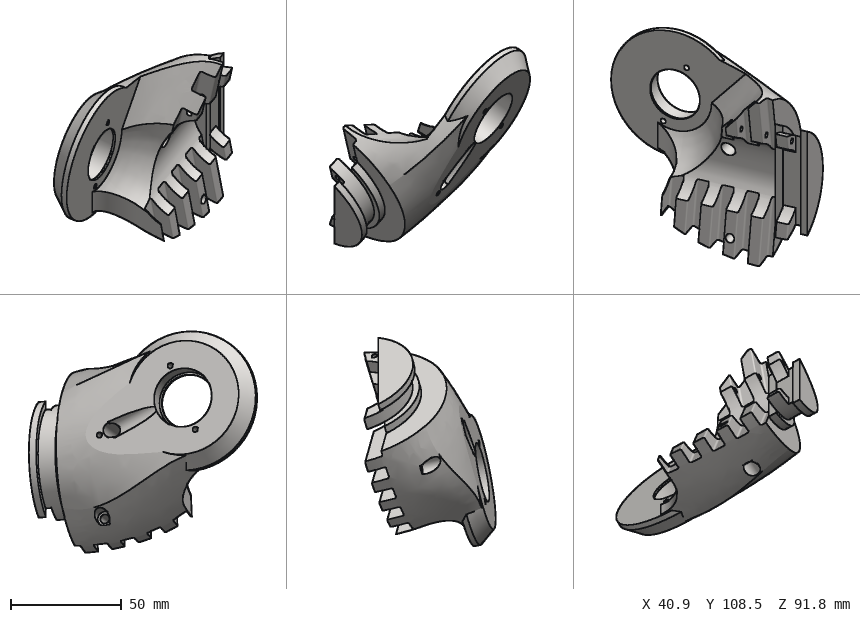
import cadquery as cq
import math

disc_radius = 32.1
disc_face_radius = 26.3
disc_chamfer_depth = 7.3
disc_thickness = 10.0
bearing_diameter = 27.0
bearing_lip_diameter = 25.0
bearing_lip_thickness = 1.1

axis_x = 44.3
axis_z = -17.8
sleeve_bore_radius = 20.5

body_end = 60.1
neck_end = 76.4
flange_width = 3.5
flange_flat_x = 30.2
groove_flat_x = 29.5
flange_radius = 30.3
groove_radius = 27.2
tab_start = 64.0
tab_end = 70.2
tab_corner = 0.8
flange_spans = [(body_end, tab_start), (neck_end - flange_width, neck_end)]

split_angle = 9.7
split_apex_x = 33.7
tooth_height = 7.9
tooth_width = 6.1
tooth_pitch = 12.6
tooth_count = 5
first_tooth_end = 57.4
tooth_root_fillet = 0.9
tooth_tip_fillet = 0.7

clearance_inner_radius = 18.4
clearance_mid_x = 19.0
clearance_mid_radius = 28.1
clearance_outer_x = 41.2
clearance_outer_radius = 33.6
clearance_slope = 0.9
web_face_y = 6.7
web_fillet = 15.7

screw_diameter = 2.5
screw_spots = [(5.9, 15.1), (-5.9, -15.1)]
blind_screw_spot = (39.2, -15.0)
cable_hole_diameter = 7.0
cable_groove_diameter = 8.0
cable_hole_spot = (33.9, -12.9)
cable_groove_start = (12.5, -4.3)
bolt_spot = (41.9, -49.7)
bolt_diameter = 4.2
bolt_head_diameter = 6.7
bolt_seat_x = 18.4
hinge_pin_spot = (33.4, 4.2)

reach = 65.1

skin_rim_x = 47.7
skin_stations = [
    (
        60.1,
        (23.5, (27.1, 20.4), (11.5, 8.2)),
        ((3.4, -8.2), (3.4, -27.3)),
        ((11.9, -44.6), (27.1, -56.1), -59.8),
    ),
    (
        44.5,
        (23.7, (17.4, 20.0), (6.7, 13.2)),
        ((0.1, -8.7), (0.1, -19.5)),
        ((9.5, -46.1), (19.5, -53.2), -58.7),
    ),
    (
        26.0,
        (23.3, (9.8, 21.9), (3.1, 19.3)),
        ((0.0, 7.6), (0.0, -24.7)),
        ((4.3, -40.1), (16.3, -49.2), -54.5),
    ),
    (
        7.0,
        (27.1, (9.8, 25.7), (1.2, 24.7)),
        ((0.0, 16.3), (0.0, -24.5)),
        ((0.9, -30.2), (15.2, -40.3), -46.9),
    ),
    (
        -8.7,
        (26.0, (9.8, 22.8), (1.1, 21.7)),
        ((0.0, 8.7), (0.0, -21.7)),
        ((0.9, -25.0), (9.8, -29.3), -32.5),
    ),
]


def cylinder_along_x(diameter, spot, start, length):
    y, z = spot
    return cq.Workplane("YZ", origin=(start, y, z)).circle(diameter / 2).extrude(length)


def cylinder_along_y(radius, x, z, start, end):
    return cq.Workplane("XZ", origin=(x, start, z)).circle(radius).extrude(start - end)


def flat_side(flat_x):
    """Block reaching from the disc face to a flat at flat_x."""
    return cq.Workplane("XY").box(flat_x, 4 * reach, 4 * reach, centered=(False, True, True))


def skin_wire(y, upper, flank, lower):
    """Closed outline of the skin at one station, with corners at the two creases."""
    upper_rim_z, upper_shoulder, upper_crease = upper
    lower_crease, lower_shoulder, lower_rim_z = lower

    def curve(points):
        return cq.Edge.makeSpline([cq.Vector(x, y, z) for x, z in points])

    upper_rim = (skin_rim_x, upper_rim_z)
    lower_rim = (skin_rim_x, lower_rim_z)
    return cq.Wire.assembleEdges([
        curve([upper_rim, upper_shoulder, upper_crease]),
        curve([upper_crease, *flank, lower_crease]),
        curve([lower_crease, lower_shoulder, lower_rim]),
        cq.Edge.makeLine(cq.Vector(skin_rim_x, y, lower_rim_z), cq.Vector(skin_rim_x, y, upper_rim_z)),
    ])


def make_skin():
    wires = [skin_wire(*station) for station in skin_stations]
    return cq.Workplane(obj=cq.Solid.makeLoft(wires))


def clearance_profile(low_y):
    """Region behind the disc, from low_y out to the curved clearance edge."""
    return (
        cq.Workplane("XY")
        .moveTo(disc_thickness, low_y)
        .lineTo(disc_thickness, clearance_inner_radius)
        .threePointArc((clearance_mid_x, clearance_mid_radius), (clearance_outer_x, clearance_outer_radius))
        .lineTo(reach, clearance_outer_radius)
        .lineTo(reach, low_y)
        .close()
    )


def make_clearance():
    """Space swept by the mating limb: a turned pocket with a sloping upper entry."""
    swing = clearance_profile(0).revolve(360, (0, 0, 0), (1, 0, 0))
    rise = cq.Vector(0, clearance_slope * reach, reach)
    entry_outline = clearance_profile(-reach).wire().val()
    entry = cq.Workplane(obj=cq.Solid.extrudeLinear(entry_outline, [], rise))
    return swing.union(entry)


def make_web_clearance():
    """Space in front of the lower web, with a large fillet into the disc."""
    fillet_start_y = web_face_y - web_fillet
    fillet_end_x = disc_thickness + web_fillet
    fillet_mid = web_fillet * math.sqrt(0.5)
    return (
        cq.Workplane("XY", origin=(0, 0, -reach))
        .moveTo(disc_thickness, fillet_start_y)
        .threePointArc(
            (fillet_end_x - fillet_mid, fillet_start_y + fillet_mid),
            (fillet_end_x, web_face_y),
        )
        .lineTo(reach, web_face_y)
        .lineTo(reach, -reach)
        .lineTo(disc_thickness, -reach)
        .close()
        .extrude(2 * reach)
    )


def tilt_to_split(shape):
    """Move a shape built on the upper side of the apex line onto the upper split plane."""
    tilted = shape.rotate((0, 0, 0), (0, 1, 0), split_angle)
    return tilted.translate((split_apex_x, 0, axis_z))


def both_sides(shape):
    """Join a shape with its mirror image below the sleeve axis."""
    mirrored = shape.mirror("XY", (0, 0, axis_z))
    return shape.union(mirrored)


def make_split_envelope():
    """Space kept inside the split planes, with a row of teeth standing along both of them."""
    comb = cq.Workplane("XY").box(2 * reach, 4 * reach, 2 * reach).translate((-reach - tooth_height, 0, 0))
    for index in range(tooth_count):
        tooth_centre = first_tooth_end - tooth_width / 2 - tooth_pitch * index
        tooth = cq.Workplane("XY", origin=(-tooth_height, tooth_centre, 0))
        comb = comb.union(tooth.box(2 * tooth_height, tooth_width, 2 * reach))
    comb = comb.edges("|Z and >X").fillet(tooth_tip_fillet)
    root_plane = cq.selectors.BoxSelector(
        (-tooth_height - tooth_tip_fillet, -reach, -2 * reach),
        (-tooth_height + tooth_tip_fillet, reach, 2 * reach),
    )
    comb = comb.edges("|Z").edges(root_plane).fillet(tooth_root_fillet)
    upper_half = cq.Workplane("XY", origin=(0, 0, axis_z)).box(
        4 * reach, 4 * reach, reach, centered=(True, True, False)
    )
    return both_sides(tilt_to_split(comb).intersect(upper_half))


def make_sleeve():
    """Toothed half sleeve with its clearances."""
    sleeve = make_skin().intersect(flat_side(reach))
    bore = cylinder_along_y(sleeve_bore_radius, axis_x, axis_z, -reach, body_end)
    sleeve = sleeve.cut(bore).cut(make_clearance()).cut(make_web_clearance())
    return sleeve.intersect(make_split_envelope())


def make_disc():
    """Disc with a conical rim, turned about the X axis."""
    return (
        cq.Workplane("XY")
        .lineTo(0, disc_face_radius)
        .lineTo(disc_chamfer_depth, disc_radius)
        .lineTo(disc_thickness, disc_radius)
        .lineTo(disc_thickness, 0)
        .close()
        .revolve(360, (0, 0, 0), (1, 0, 0))
    )


def make_neck():
    """Flat-sided grooved neck with a locking tab on each side."""
    neck = cylinder_along_y(groove_radius, axis_x, axis_z, body_end, neck_end)
    neck = neck.intersect(flat_side(groove_flat_x))
    for start, end in flange_spans:
        flange = cylinder_along_y(flange_radius, axis_x, axis_z, start, end)
        neck = neck.union(flange.intersect(flat_side(flange_flat_x)))

    tab_block = (
        cq.Workplane("XY", origin=(-reach, tab_start, 0))
        .box(reach, tab_end - tab_start, reach, centered=False)
        .edges("|Z and >X")
        .fillet(tab_corner)
    )
    tab_ring = cylinder_along_y(groove_radius, axis_x, axis_z, tab_start, tab_end)
    tab_ring = tab_ring.cut(cylinder_along_y(sleeve_bore_radius, axis_x, axis_z, tab_start, tab_end))
    return neck.union(tab_ring.intersect(both_sides(tilt_to_split(tab_block))))


def cut_bearing_seat(part):
    seat_depth = disc_thickness - bearing_lip_thickness
    part = part.cut(cylinder_along_x(bearing_diameter, (0, 0), 0, seat_depth))
    return part.cut(cylinder_along_x(bearing_lip_diameter, (0, 0), 0, disc_thickness))


def cut_screw_holes(part):
    for spot in screw_spots:
        part = part.cut(cylinder_along_x(screw_diameter, spot, 0, disc_thickness))
    return part.cut(cylinder_along_x(screw_diameter, blind_screw_spot, 0, disc_thickness))


def cut_cable_path(part):
    """Hole into the sleeve, fed by a groove that deepens from the bearing towards it."""
    part = part.cut(cylinder_along_x(cable_hole_diameter, cable_hole_spot, 0, reach))
    start_y, start_z = cable_groove_start
    end_y, end_z = cable_hole_spot
    start = cq.Vector(-cable_groove_diameter / 2, start_y, start_z)
    run = cq.Vector(0, end_y, end_z) - start
    groove = cq.Solid.makeCylinder(cable_groove_diameter / 2, run.Length, start, run)
    return part.cut(cq.Workplane(obj=groove))


def cut_bolt_hole(part):
    part = part.cut(cylinder_along_x(bolt_diameter, bolt_spot, 0, reach))
    return part.cut(cylinder_along_x(bolt_head_diameter, bolt_spot, 0, bolt_seat_x))


def cut_hinge_pin_hole(part):
    pin_x, pin_z = hinge_pin_spot
    return part.cut(cylinder_along_y(screw_diameter / 2, pin_x, pin_z, 0, neck_end))


result = make_sleeve().union(make_disc()).union(make_neck())
result = cut_bearing_seat(result)
result = cut_screw_holes(result)
result = cut_cable_path(result)
result = cut_bolt_hole(result)
result = cut_hinge_pin_hole(result)